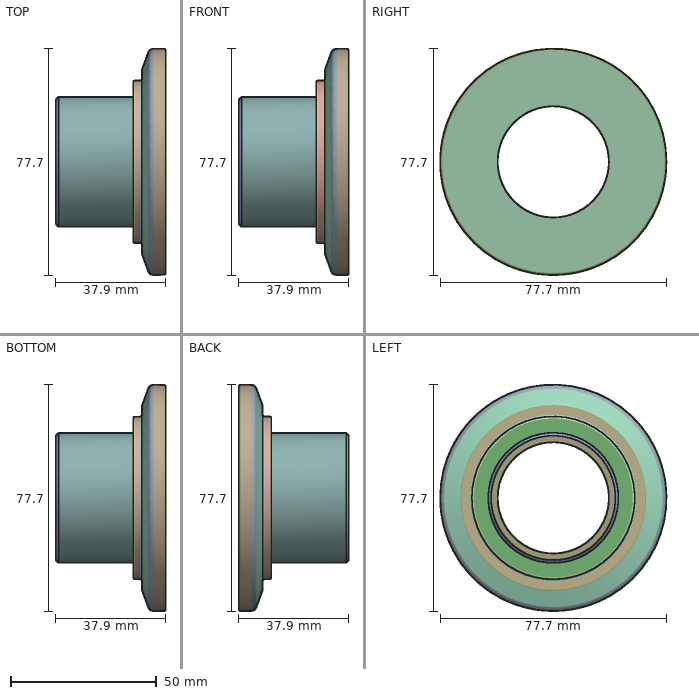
import cadquery as cq
import math

total_length = 37.85
bore_diameter = 38.1
tube_diameter = 44.7
tube_chamfer = 1.0

collar_diameter = 55.9
collar_thickness = 3.0
collar_fillet = 0.7

flange_diameter = 77.7
flange_thickness = 8.2
flange_flat_diameter = 63.4
taper_angle = math.radians(20)
crest_fillet = 2.1
flange_edge_fillet = 0.8

flange_start = total_length - flange_thickness
collar_start = flange_start - collar_thickness


def cylinder_along_x(diameter, start, end):
    return cq.Workplane("YZ", origin=(start, 0, 0)).circle(diameter / 2).extrude(end - start)


def make_tube():
    tube = cylinder_along_x(tube_diameter, 0, total_length)
    return tube.faces("<X").edges().chamfer(tube_chamfer)


def make_collar():
    collar = cylinder_along_x(collar_diameter, collar_start, total_length)
    return collar.faces("<X").edges().fillet(collar_fillet)


def make_flange():
    """Disc whose tube side tapers from a flat ring out to the rim, with rounded edges."""
    rim_radius = flange_diameter / 2
    flat_radius = flange_flat_diameter / 2
    crest_x = flange_start + (rim_radius - flat_radius) * math.tan(taper_angle)
    flange = (
        cq.Workplane("XY")
        .moveTo(flange_start, 0)
        .lineTo(flange_start, flat_radius)
        .lineTo(crest_x, rim_radius)
        .lineTo(total_length, rim_radius)
        .lineTo(total_length, 0)
        .close()
        .revolve(360, (0, 0, 0), (1, 0, 0))
    )
    largest_circles = cq.selectors.RadiusNthSelector(-1)
    flange = flange.edges(largest_circles).edges("<X").fillet(crest_fillet)
    flange = flange.faces("<X").edges().fillet(flange_edge_fillet)
    return flange.faces(">X").edges().fillet(flange_edge_fillet)


body = make_flange().union(make_collar())
collar_circles = cq.selectors.RadiusNthSelector(0)
flat_ring = body.faces(cq.selectors.NearestToPointSelector((flange_start, 0, 0)))
body = flat_ring.edges(collar_circles).fillet(collar_fillet)

bore = cylinder_along_x(bore_diameter, 0, total_length)
result = body.union(make_tube()).cut(bore)